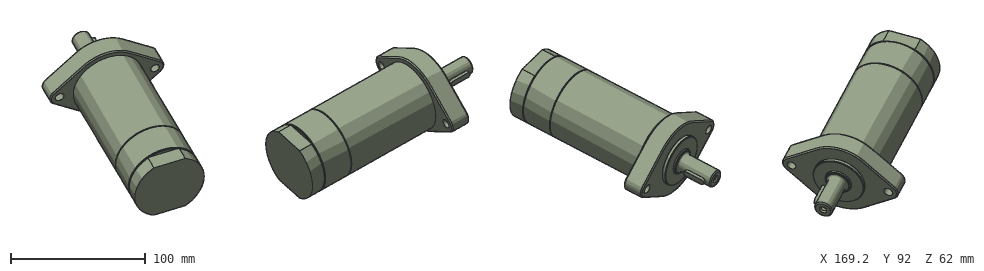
import cadquery as cq
import math

total_length = 169.2
seal_start = 29.8
collar_start = 30.6
pilot_start = 31.6
flange_start = 34.9
flange_thickness = 16.3
flange_end = flange_start + flange_thickness
body_start = 52.5
ring_groove_start = 132.0
ring_groove_width = 0.8
cap_groove_start = 157.0
cap_groove_width = 0.6
cap_start = cap_groove_start + cap_groove_width

shaft_diameter = 14.0
seal_diameter = 18.0
collar_front_diameter = 19.95
collar_back_diameter = 21.0
pilot_diameter = 40.4
neck_diameter = 48.38
body_diameter = 56.0
ring_groove_diameter = 48.18
cap_groove_diameter = 55.0

shaft_chamfer = 1.0
shaft_root_radius = 1.5
pilot_chamfer = 0.5
flange_chamfer = 1.0
body_end_chamfer = 0.3

flange_height = 62.0
flange_width = 92.0
ear_radius = 7.5
bolt_hole_diameter = 7.0

key_start = 4.8
key_length = 18.4
key_width = 5.0
key_top = 9.0
key_seat = 4.0

centre_hole_diameter = 4.13
centre_hole_depth = 12.5
countersink_diameter = 5.8
countersink_angle = 60.0
drill_tip_angle = 118.0

cap_flat_distance = 50.0


def cylinder(start, end, diameter):
    """Solid cylinder on the X axis between two axial positions."""
    return cq.Workplane("YZ", origin=(start, 0, 0)).circle(diameter / 2).extrude(end - start)


def make_shaft():
    """Output shaft with seal ring, tapered collar and locating pilot."""
    shaft = cylinder(0, flange_end, shaft_diameter).faces("<X").chamfer(shaft_chamfer)
    pilot = cylinder(pilot_start, flange_start, pilot_diameter).faces("<X or >X").chamfer(pilot_chamfer)
    seal = cylinder(seal_start, flange_start, seal_diameter)
    collar = (
        cq.Workplane("YZ", origin=(collar_start, 0, 0))
        .circle(collar_front_diameter / 2)
        .workplane(offset=pilot_start - collar_start)
        .circle(collar_back_diameter / 2)
        .loft(ruled=True)
    )
    return shaft.union(seal).union(collar).union(pilot).union(make_shaft_root())


def make_shaft_root():
    """Concave fillet where the shaft meets the seal ring."""
    shaft_radius = shaft_diameter / 2
    root_start = seal_start - shaft_root_radius
    arc_drop = shaft_root_radius * math.sin(math.radians(45))
    arc_middle = (root_start + arc_drop, shaft_radius + shaft_root_radius - arc_drop)
    return (
        cq.Workplane("XY")
        .moveTo(root_start, 0)
        .lineTo(root_start, shaft_radius)
        .threePointArc(arc_middle, (seal_start, shaft_radius + shaft_root_radius))
        .lineTo(seal_start, 0)
        .close()
        .revolve(360, (0, 0, 0), (1, 0, 0))
    )


def make_key():
    """Round-ended parallel key standing out of the +Y side of the shaft."""
    return (
        cq.Workplane("XZ", origin=(key_start + key_length / 2, key_top, 0))
        .slot2D(key_length, key_width)
        .extrude(key_top - key_seat)
    )


def make_flange():
    """Rhombic flange: a large central arc joined by tangent lines to two ears."""
    hub_radius = flange_height / 2
    ear_centre = flange_width / 2 - ear_radius
    sine = (hub_radius - ear_radius) / ear_centre
    cosine = math.sqrt(1 - sine**2)
    hub_y = hub_radius * sine
    hub_z = hub_radius * cosine
    ear_y = ear_centre + ear_radius * sine
    ear_z = ear_radius * cosine
    flange = (
        cq.Workplane("YZ", origin=(flange_start, 0, 0))
        .moveTo(-hub_y, hub_z)
        .threePointArc((0, hub_radius), (hub_y, hub_z))
        .lineTo(ear_y, ear_z)
        .threePointArc((flange_width / 2, 0), (ear_y, -ear_z))
        .lineTo(hub_y, -hub_z)
        .threePointArc((0, -hub_radius), (-hub_y, -hub_z))
        .lineTo(-ear_y, -ear_z)
        .threePointArc((-flange_width / 2, 0), (-ear_y, ear_z))
        .close()
        .extrude(flange_thickness)
        .faces("<X or >X")
        .chamfer(flange_chamfer)
    )
    bolt_holes = (
        cq.Workplane("YZ", origin=(flange_start, 0, 0))
        .pushPoints([(-ear_centre, 0), (ear_centre, 0)])
        .circle(bolt_hole_diameter / 2)
        .extrude(flange_thickness)
    )
    return flange.cut(bolt_holes)


def make_body():
    """Motor housing: neck, gearbox section, motor section and the grooves between them."""
    ring_groove_end = ring_groove_start + ring_groove_width
    neck = cylinder(flange_end, body_start, neck_diameter)
    gearbox = cylinder(body_start, ring_groove_start, body_diameter)
    ring_groove = cylinder(ring_groove_start, ring_groove_end, ring_groove_diameter)
    motor = cylinder(ring_groove_end, cap_groove_start, body_diameter).faces(">X").chamfer(body_end_chamfer)
    cap_groove = cylinder(cap_groove_start, cap_start, cap_groove_diameter)
    return neck.union(gearbox).union(ring_groove).union(motor).union(cap_groove)


def make_cap():
    """Rear cap with two parallel flats, one on top and one below."""
    cap_length = total_length - cap_start
    flat_slab = cq.Workplane("XY", origin=((cap_start + total_length) / 2, 0, 0)).box(
        cap_length, body_diameter, cap_flat_distance
    )
    return cylinder(cap_start, total_length, body_diameter).intersect(flat_slab)


def make_centre_hole():
    """Blind hole in the shaft tip with a countersink and a conical bottom."""
    hole_radius = centre_hole_diameter / 2
    countersink_radius = countersink_diameter / 2
    countersink_depth = (countersink_radius - hole_radius) / math.tan(math.radians(countersink_angle / 2))
    tip_length = hole_radius / math.tan(math.radians(drill_tip_angle / 2))
    return (
        cq.Workplane("XY")
        .polyline(
            [
                (0, 0),
                (0, countersink_radius),
                (countersink_depth, hole_radius),
                (centre_hole_depth, hole_radius),
                (centre_hole_depth + tip_length, 0),
            ]
        )
        .close()
        .revolve(360, (0, 0, 0), (1, 0, 0))
    )


result = make_shaft().union(make_key()).union(make_flange()).union(make_body()).union(make_cap())
result = result.cut(make_centre_hole())